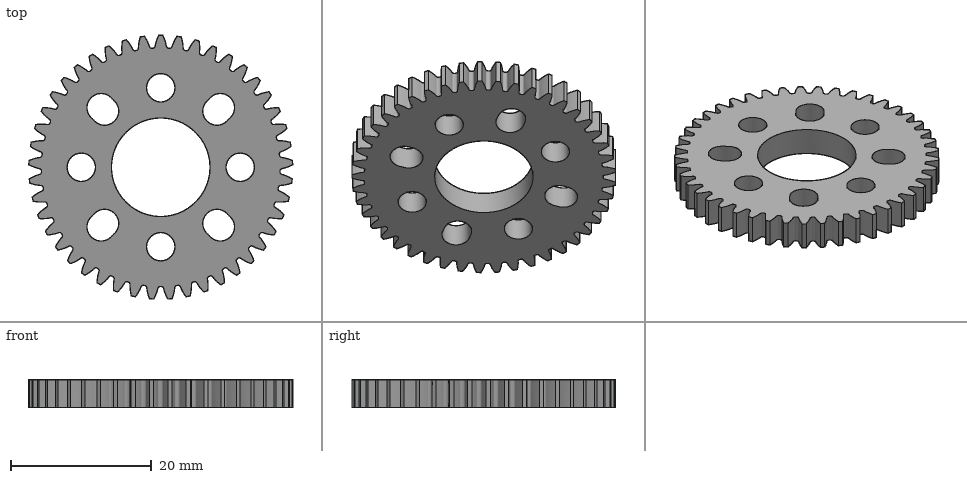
import math

import cadquery as cq

TEETH = 45
MODULE = 0.8
PRESSURE_ANGLE = math.radians(20)
DEDENDUM_FACTOR = 1.25
ROOT_FILLET = 0.38 * MODULE
FLANK_POINTS = 7
THICKNESS = 4.0

PITCH_RADIUS = MODULE * TEETH / 2
TIP_RADIUS = PITCH_RADIUS + MODULE
ROOT_RADIUS = PITCH_RADIUS - DEDENDUM_FACTOR * MODULE
BASE_RADIUS = PITCH_RADIUS * math.cos(PRESSURE_ANGLE)
TOOTH_PITCH = 2 * math.pi / TEETH
FIRST_TOOTH_ANGLE = math.pi / 2

BORE_DIAMETER = 14.0
HOLE_DIAMETER = 4.0
HOLE_COUNT = 4
HOLE_GRID = 8.0
HOLE_CIRCLE_RADIUS = HOLE_GRID * math.sqrt(2)
DIAGONAL_ANGLE = 45
SLOT_OUTER_RADIUS = 12.0


def polar(radius, angle):
    return (radius * math.cos(angle), radius * math.sin(angle))


def involute(angle):
    return math.tan(angle) - angle


def half_tooth_angle(radius):
    """Half the angle a tooth spans at the given radius."""
    flank_angle = math.acos(BASE_RADIUS / radius)
    return TOOTH_PITCH / 4 + involute(PRESSURE_ANGLE) - involute(flank_angle)


def gear_blank():
    step = (TIP_RADIUS - ROOT_RADIUS) / (FLANK_POINTS - 1)
    radii = [ROOT_RADIUS + i * step for i in range(FLANK_POINTS)]
    start_angle = FIRST_TOOTH_ANGLE - half_tooth_angle(ROOT_RADIUS)
    outline = cq.Workplane("XY").moveTo(*polar(ROOT_RADIUS, start_angle))
    for i in range(TEETH):
        middle = FIRST_TOOTH_ANGLE + i * TOOTH_PITCH
        rising = [polar(r, middle - half_tooth_angle(r)) for r in radii]
        falling = [polar(r, middle + half_tooth_angle(r)) for r in reversed(radii)]
        root_middle = polar(ROOT_RADIUS, middle + TOOTH_PITCH / 2)
        root_end = polar(ROOT_RADIUS, start_angle + (i + 1) * TOOTH_PITCH)
        outline = (
            outline.spline(rising[1:], includeCurrent=True)
            .threePointArc(polar(TIP_RADIUS, middle), falling[0])
            .spline(falling[1:], includeCurrent=True)
            .threePointArc(root_middle, root_end)
        )
    return outline.close().extrude(THICKNESS)


def round_tooth_roots(gear):
    """Fillet the corners where the flanks meet the root circle."""
    mid_radius = (ROOT_RADIUS + TIP_RADIUS) / 2
    edges = [
        edge
        for edge in gear.edges("|Z").vals()
        if math.hypot(edge.Center().x, edge.Center().y) < mid_radius
    ]
    return gear.newObject(edges).fillet(ROOT_FILLET)


def bore():
    return cq.Workplane("XY").circle(BORE_DIAMETER / 2).extrude(THICKNESS)


def axis_holes():
    return (
        cq.Workplane("XY")
        .polarArray(HOLE_CIRCLE_RADIUS, 0, 360, HOLE_COUNT)
        .circle(HOLE_DIAMETER / 2)
        .extrude(THICKNESS)
    )


def diagonal_slots():
    slot_middle = (HOLE_CIRCLE_RADIUS + SLOT_OUTER_RADIUS) / 2
    slot_length = SLOT_OUTER_RADIUS - HOLE_CIRCLE_RADIUS + HOLE_DIAMETER
    return (
        cq.Workplane("XY")
        .polarArray(slot_middle, DIAGONAL_ANGLE, 360, HOLE_COUNT)
        .slot2D(slot_length, HOLE_DIAMETER)
        .extrude(THICKNESS)
    )


toothed_disc = round_tooth_roots(gear_blank())
result = toothed_disc.cut(bore()).cut(axis_holes()).cut(diagonal_slots())